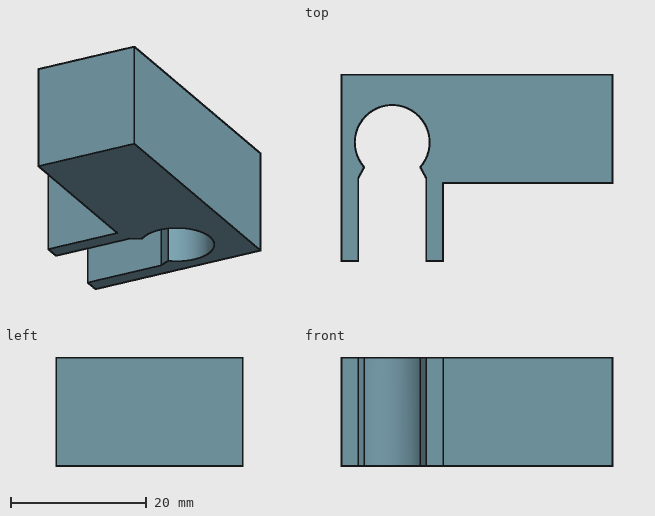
import cadquery as cq
import math

length = 40.0
block_depth = 16.0
height = 16.0

total_depth = 27.5
clip_width = 15.0
slot_width = 10.0
seat_diameter = 11.0
seat_from_back = 10.0
neck_width = 8.25
lead_in_depth = 1.65

clip_center_x = clip_width / 2
seat_radius = seat_diameter / 2
seat_y = total_depth - seat_from_back
neck_y = seat_y - math.sqrt(seat_radius**2 - (neck_width / 2) ** 2)
lead_in_y = neck_y - lead_in_depth


def make_body():
    block = cq.Workplane("XY").box(length, block_depth, height, centered=False)
    block = block.translate((0, total_depth - block_depth, 0))
    clip = cq.Workplane("XY").box(clip_width, total_depth, height, centered=False)
    return block.union(clip)


def make_clip_opening():
    """Round seat, narrow neck, flared lead-in and straight slot, full height."""
    neck_left = clip_center_x - neck_width / 2
    neck_right = clip_center_x + neck_width / 2
    slot_left = clip_center_x - slot_width / 2
    slot_right = clip_center_x + slot_width / 2
    return (
        cq.Workplane("XY")
        .moveTo(slot_left, 0)
        .lineTo(slot_left, lead_in_y)
        .lineTo(neck_left, neck_y)
        .threePointArc((clip_center_x, seat_y + seat_radius), (neck_right, neck_y))
        .lineTo(slot_right, lead_in_y)
        .lineTo(slot_right, 0)
        .close()
        .extrude(height)
    )


result = make_body().cut(make_clip_opening())